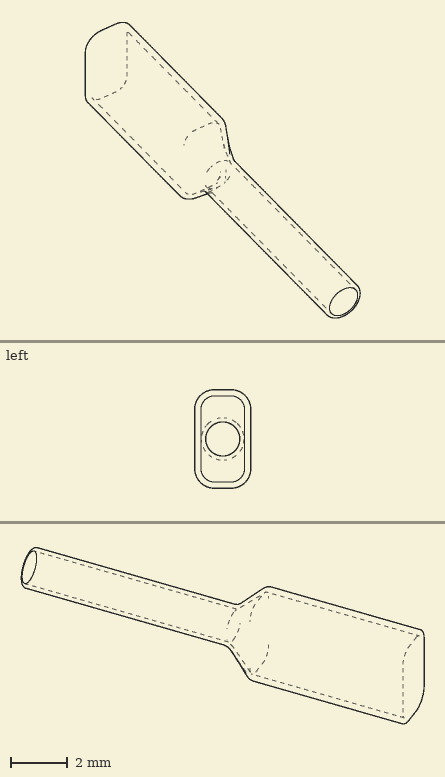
import cadquery as cq

length = 15.0
sleeve_width = 2.0
sleeve_height = 3.5
sleeve_corner_radius = 0.7
sleeve_wall = 0.22

taper_start = 6.0
taper_end = 7.0

tube_diameter = 1.5
bore_diameter = 1.2

shoulder_blend_radius = 0.25
neck_blend_radius = 0.5
rim_rounding = 0.05
tube_end_rounding = 0.09


def rounded_outline(width, height, corner_radius):
    return cq.Sketch().rect(width, height).vertices().fillet(corner_radius)


def sleeve_to_tube(width, height, corner_radius, diameter):
    """Solid of a rounded rectangular sleeve, a lofted taper and a round tube."""
    outline = rounded_outline(width, height, corner_radius)
    sleeve = cq.Workplane("YZ").placeSketch(outline).extrude(taper_start)
    taper = (
        cq.Workplane("YZ", origin=(taper_start, 0, 0))
        .placeSketch(
            outline,
            cq.Sketch().circle(diameter / 2).moved(cq.Location(cq.Vector(0, 0, taper_end - taper_start))),
        )
        .loft()
    )
    tube = cq.Workplane("YZ", origin=(taper_end, 0, 0)).circle(diameter / 2).extrude(length - taper_end)
    return sleeve.union(taper).union(tube)


def edges_at(body, x):
    """Select the edges lying in the cross-section at x."""
    tolerance = 0.002
    return body.edges(
        cq.selectors.BoxSelector(
            (x - tolerance, -sleeve_width, -sleeve_height),
            (x + tolerance, sleeve_width, sleeve_height),
        )
    )


body = sleeve_to_tube(sleeve_width, sleeve_height, sleeve_corner_radius, tube_diameter)
body = edges_at(body, taper_start).fillet(shoulder_blend_radius)
body = edges_at(body, taper_end).fillet(neck_blend_radius)
body = body.faces(">X").edges().fillet(tube_end_rounding)

passage = sleeve_to_tube(
    sleeve_width - 2 * sleeve_wall,
    sleeve_height - 2 * sleeve_wall,
    sleeve_corner_radius - sleeve_wall,
    bore_diameter,
)

result = body.cut(passage).faces("<X").edges().fillet(rim_rounding)